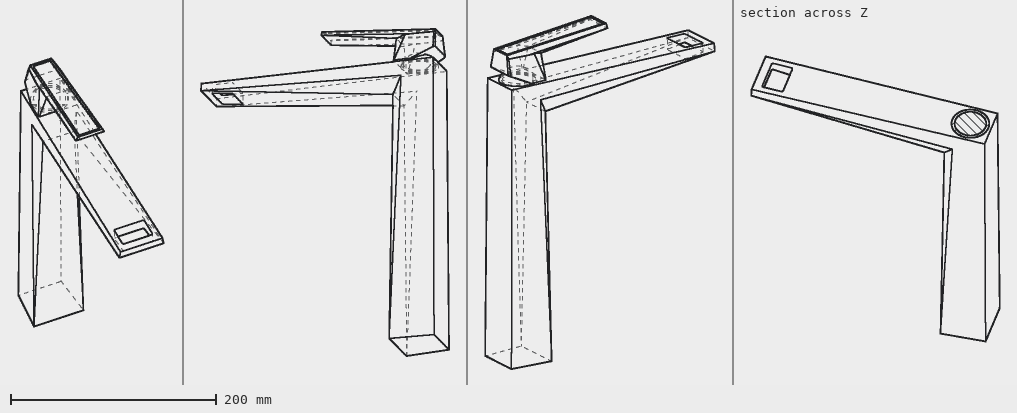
import cadquery as cq
import math


spout_length = 239.0
deck_height = 288.0
column_back_shift = 1.5
column_depth = 45.0
foot_back_half_width = 22.8
foot_front_half_width = 26.5
deck_back_half_width = 21.0
bend_outer = (33.7, 272.2)
bend_inner = (44.3, 256.0)
bend_inner_half_width = 16.5
spout_tip_height = 8.0
tip_top_half_width = 22.5

outlet_center_x = 220.0
outlet_length = 21.2
outlet_width = 32.0
outlet_corner_radius = 1.62

cap_center = (22.8, 281.8)
cap_diameter = 39.0
cartridge_diameter = 31.5
cartridge_height = 2.3

block_bottom = 290.0
block_top = 317.5
block_half_width = 20.5
block_edges = [
    ((0.5, 17.5), (2.3, 11.5)),
    ((3.0, 20.0), (3.3, 13.2)),
    ((24.8, block_half_width), (20.5, 14.5)),
    ((42.0, block_half_width), (32.5, 15.0)),
    ((42.7, 20.0), (42.7, 10.5)),
]
undercut_back_height = 12.0
undercut_end_x = 24.8

lever_tip_x = 118.5
lever_back_top = 320.8
lever_tip_top = 330.7
lever_tip_height = 4.3
lever_back_half_width = 11.2
lever_tip_half_width = 13.0
lever_rise_x = 26.5
lever_side_tip_half_width = 15.2
keel = (43.3, 12.0, 315.5)

back_bottom_x = block_edges[0][0][0]
back_top_x, back_top_half_width = block_edges[0][1]
back_lean = (back_top_x - back_bottom_x) / (block_top - block_bottom)
lever_back_x = back_top_x + back_lean * (lever_back_top - block_top)

inlay_rim = 2.15
inlay_thickness = 1.0


def mirrored(point):
    x, y, z = point
    return (x, -y, z)


def polygon_face(points):
    return cq.Face.makeFromWires(cq.Wire.makePolygon([cq.Vector(*p) for p in points], close=True))


def symmetric_solid(side_faces, crossing_edges):
    """Solid from the flat faces of one side and the edges whose mirror pairs bound flat faces across."""
    faces = []
    for points in side_faces:
        faces.append(polygon_face(points))
        faces.append(polygon_face([mirrored(p) for p in points]))
    for start, end in crossing_edges:
        faces.append(polygon_face([start, end, mirrored(end), mirrored(start)]))
    return cq.Solid.makeSolid(cq.Shell.makeShell(faces))


def outline_loop(points):
    """Edges that join the points in turn and close back to the first."""
    return list(zip(points, points[1:] + points[:1]))


def plane_half_width(points, x, z):
    """Half width at X, Z on the plane through three points."""
    a, b, c = [cq.Vector(*p) for p in points]
    normal = (b - a).cross(c - a)
    return a.y - (normal.x * (x - a.x) + normal.z * (z - a.z)) / normal.y


def make_faucet():
    foot_back = (0, foot_back_half_width, 0)
    foot_front = (column_depth, foot_front_half_width, 0)
    deck_back = (column_back_shift, deck_back_half_width, deck_height)
    deck_tip = (spout_length, tip_top_half_width, deck_height)
    column_side = [foot_back, foot_front, deck_back]
    bend = (bend_outer[0], plane_half_width(column_side, *bend_outer), bend_outer[1])
    tip_z = deck_height - spout_tip_height
    spout_side = [deck_back, bend, deck_tip]
    tip = (spout_length, plane_half_width(spout_side, spout_length, tip_z), tip_z)
    corner = (bend_inner[0], bend_inner_half_width, bend_inner[1])

    side_faces = [
        [foot_back, foot_front, bend, deck_back],
        [deck_back, bend, tip, deck_tip],
        [foot_front, corner, bend],
        [bend, corner, tip],
    ]
    profile = [foot_back, foot_front, corner, tip, deck_tip, deck_back]
    faucet = cq.Workplane(symmetric_solid(side_faces, outline_loop(profile)))

    outlet = (
        cq.Workplane("XY", origin=(outlet_center_x, 0, 0))
        .rect(outlet_length, outlet_width)
        .extrude(deck_height)
        .edges("|Z")
        .fillet(outlet_corner_radius)
    )
    return faucet.cut(outlet)


def make_cartridge():
    base = cq.Workplane("XY", origin=(cap_center[0], 0, deck_height))
    return base.circle(cartridge_diameter / 2).extrude(cartridge_height)


def make_ball():
    """Part of the ball that stands above the deck."""
    ball = cq.Workplane("XY", origin=(cap_center[0], 0, cap_center[1])).sphere(cap_diameter / 2)
    above_deck = (
        cq.Workplane("XY", origin=(cap_center[0], 0, deck_height))
        .rect(cap_diameter, cap_diameter)
        .extrude(cap_diameter)
    )
    return ball.intersect(above_deck)


def make_block():
    def section(z, edges):
        side = [cq.Vector(x, y, z) for x, y in edges]
        other_side = [cq.Vector(v.x, -v.y, z) for v in reversed(side)]
        return cq.Wire.makePolygon(side + other_side, close=True)

    lower = section(block_bottom, [bottom for bottom, _ in block_edges])
    upper = section(block_top, [top for _, top in block_edges])
    block = cq.Workplane(cq.Solid.makeLoft([lower, upper], True))
    undercut = (
        cq.Workplane("XZ")
        .moveTo(0, block_bottom)
        .lineTo(undercut_end_x, block_bottom)
        .lineTo(0, block_bottom + undercut_back_height)
        .close()
        .extrude(block_half_width, both=True)
    )
    return block.cut(undercut)


def make_lever():
    top_back = (lever_back_x, lever_back_half_width, lever_back_top)
    top_tip = (lever_tip_x, lever_tip_half_width, lever_tip_top)
    side_tip = (lever_tip_x, lever_side_tip_half_width, lever_tip_top - lever_tip_height)
    side_plane = [top_back, top_tip, side_tip]
    corner_x = block_edges[1][1][0]
    low_back = (back_top_x, back_top_half_width, block_top)
    side_back = (corner_x, plane_half_width(side_plane, corner_x, block_top), block_top)
    side_front = (lever_rise_x, plane_half_width(side_plane, lever_rise_x, block_top), block_top)
    side_faces = [
        [top_back, low_back, side_back],
        [top_back, side_back, side_front, side_tip, top_tip],
        [side_front, keel, side_tip],
    ]
    profile = [top_back, low_back, side_back, side_front, keel, side_tip, top_tip]
    return cq.Workplane(symmetric_solid(side_faces, outline_loop(profile)))


def make_inlay():
    length = math.hypot(lever_tip_x - lever_back_x, lever_tip_top - lever_back_top)
    back = lever_back_half_width - inlay_rim
    tip = lever_tip_half_width - inlay_rim
    direction = cq.Vector(lever_tip_x - lever_back_x, 0, lever_tip_top - lever_back_top)
    normal = direction.cross(cq.Vector(0, 1, 0))
    lever_top = cq.Plane(origin=(lever_back_x, 0, lever_back_top), xDir=direction, normal=normal)
    return (
        cq.Workplane(lever_top)
        .polyline([
            (inlay_rim, -back),
            (length - inlay_rim, -tip),
            (length - inlay_rim, tip),
            (inlay_rim, back),
        ])
        .close()
        .extrude(-inlay_thickness)
    )


faucet = make_faucet()
cartridge = make_cartridge()
ball = make_ball()
inlay = make_inlay()
cap = ball.cut(cartridge)
handle = make_block().union(make_lever()).cut(ball).cut(inlay)

result = cq.Compound.makeCompound(
    [faucet.val(), cartridge.val(), cap.val(), handle.val(), inlay.val()]
)